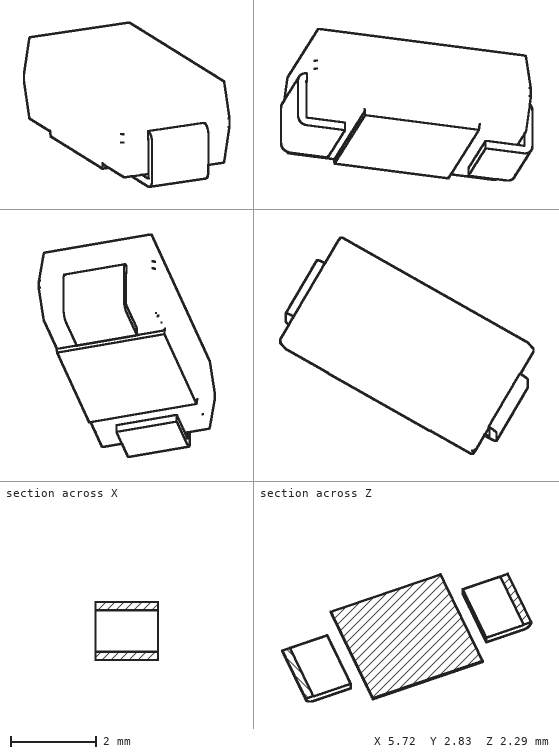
import cadquery as cq
import math

overall_length = 5.72
overall_height = 2.29

housing_length = 5.28
housing_width = 2.83
belt_top_z = 1.38
belt_bottom_z = 1.17
housing_bottom_z = 0.265
draft_angle = 6.0
edge_radius = 0.05

pad_bottom_z = 0.16
pad_root_length = 2.99

lead_width = 1.47
lead_thickness = 0.2
bend_inner_radius = 0.01
bend_outer_radius = bend_inner_radius + lead_thickness
lead_top_z = 1.365
foot_end_x = 1.715

lead_outer_x = overall_length / 2


def drafted_block(length, width, start_z, end_z):
    """Block that is length x width at start_z and narrows by the draft angle towards end_z."""
    height = abs(end_z - start_z)
    inset = height * math.tan(math.radians(draft_angle))
    return (
        cq.Workplane("XY", origin=(0, 0, start_z))
        .rect(length, width)
        .workplane(offset=end_z - start_z)
        .rect(length - 2 * inset, width - 2 * inset)
        .loft(ruled=True)
    )


def make_housing():
    """Rounded, drafted housing with a standoff pad whose long sides are flush with its walls."""
    belt = cq.Workplane("XY", origin=(0, 0, belt_bottom_z)).box(
        housing_length, housing_width, belt_top_z - belt_bottom_z, centered=(True, True, False)
    )
    upper = drafted_block(housing_length, housing_width, belt_top_z, overall_height)
    lower = drafted_block(housing_length, housing_width, belt_bottom_z, housing_bottom_z)
    shell = belt.union(upper).union(lower)

    corner_edges = shell.edges("not #Z")
    rims = shell.faces("<Z or >Z").edges()
    shell = shell.newObject(corner_edges.vals() + rims.vals()).fillet(edge_radius)

    pad = drafted_block(pad_root_length, housing_width, belt_bottom_z, pad_bottom_z)
    return shell.union(pad, clean=False)


def make_lead(side):
    """C-shaped lead at the +X end (side = 1) or the -X end (side = -1)."""
    housing_end_x = side * housing_length / 2
    bend_center_x = side * (lead_outer_x - bend_outer_radius)
    outer_x = side * lead_outer_x
    inner_x = side * (lead_outer_x - lead_thickness)
    upper_center_z = lead_top_z - bend_outer_radius
    lower_center_z = bend_outer_radius
    foot_x = side * foot_end_x

    diagonal = math.sqrt(0.5)
    outer_mid_x = bend_center_x + side * bend_outer_radius * diagonal
    inner_mid_x = bend_center_x + side * bend_inner_radius * diagonal
    outer_rise = bend_outer_radius * diagonal
    inner_rise = bend_inner_radius * diagonal

    profile = (
        cq.Workplane("XZ")
        .moveTo(housing_end_x, lead_top_z)
        .lineTo(bend_center_x, lead_top_z)
        .threePointArc((outer_mid_x, upper_center_z + outer_rise), (outer_x, upper_center_z))
        .lineTo(outer_x, lower_center_z)
        .threePointArc((outer_mid_x, lower_center_z - outer_rise), (bend_center_x, 0))
        .lineTo(foot_x, 0)
        .lineTo(foot_x, lead_thickness)
        .lineTo(bend_center_x, lead_thickness)
        .threePointArc((inner_mid_x, lower_center_z - inner_rise), (inner_x, lower_center_z))
        .lineTo(inner_x, upper_center_z)
        .threePointArc(
            (inner_mid_x, upper_center_z + inner_rise), (bend_center_x, lead_top_z - lead_thickness)
        )
        .lineTo(housing_end_x, lead_top_z - lead_thickness)
        .close()
    )
    return profile.extrude(lead_width / 2, both=True)


housing = make_housing()
leads = [make_lead(side) for side in (-1, 1)]

result = cq.Compound.makeCompound([housing.solids().val(), *[lead.val() for lead in leads]])